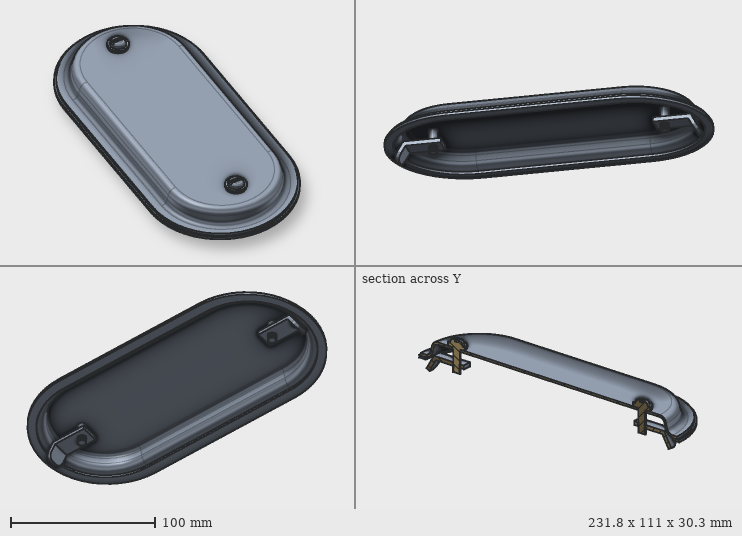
import cadquery as cq
import math

length = 231.8
width = 111.0
gasket_thickness = 2.0
end_radius = width / 2
half_spacing = length / 2 - end_radius

sheet_thickness = 2.0
flange_inset = 1.6
flange_top = gasket_thickness + sheet_thickness
dome_half_spacing = 62.1
dome_radius = 44.3
dome_top = 16.5
wall_draft = 13.0
shoulder_radius = 6.0
foot_radius = 4.6
foot_reach = foot_radius * math.tan(math.radians(90 - wall_draft) / 2)
opening_radius = dome_radius + foot_reach

screw_offset = 82.5
shank_diameter = 6.3
shank_bottom = -2.5
thread_pitch = 0.7
thread_depth = 0.5
thread_count = 11
seat_diameter = 14.5
collar_diameter = 15.8
collar_bottom = 17.5
collar_top = 19.2
head_foot_diameter = 11.5
head_diameter = 10.7
head_shoulder = 21.0
crown_diameter = 6.3
screw_top = 22.7
slot_width = 2.5
slot_depth = 1.5
tooth_count = 20

clip_width = 13.5
clip_thickness = 3.2
clip_corner_radius = 5.0
arm_angle = 60.0
arm_bottom = -7.6
arm_inner_face = 102.0
strip_bottom = gasket_thickness
strip_overhang = clip_width / 2


def stadium(spacing, radius, bottom, height, taper=0):
    """Prism with straight sides along X and round ends centred at +/- spacing."""
    outline = cq.Workplane("XY", origin=(0, 0, bottom)).slot2D(2 * (spacing + radius), 2 * radius)
    return outline.extrude(height, taper=taper)


def domed_slab(slab, base, radius, top, shoulder, foot):
    """Add a drafted dome to a slab whose top lies at Z = base, and round both its rims."""
    dome = stadium(dome_half_spacing, radius, base, top - base, wall_draft)
    dome = dome.faces(">Z").edges().fillet(shoulder)
    foot_zone = cq.selectors.BoxSelector(
        (-dome_half_spacing - radius - foot / 2, -radius - foot / 2, base - foot / 10),
        (dome_half_spacing + radius + foot / 2, radius + foot / 2, base + foot / 10),
        boundingbox=True,
    )
    return slab.union(dome).edges(foot_zone).fillet(foot)


def make_gasket():
    ring = stadium(half_spacing, end_radius, 0, gasket_thickness)
    return ring.cut(stadium(dome_half_spacing, opening_radius, 0, gasket_thickness))


def make_cover():
    flange = stadium(half_spacing, end_radius - flange_inset, gasket_thickness, sheet_thickness)
    cover = domed_slab(flange, flange_top, dome_radius, dome_top, shoulder_radius, foot_radius)

    draft = math.radians(wall_draft)
    cavity_radius = dome_radius + sheet_thickness * (math.tan(draft) - 1 / math.cos(draft))
    below = stadium(half_spacing, end_radius, 0, gasket_thickness)
    cavity = domed_slab(
        below, gasket_thickness, cavity_radius, dome_top - sheet_thickness,
        shoulder_radius - sheet_thickness, foot_radius + sheet_thickness,
    )
    cover = cover.cut(cavity)
    for side in (-1, 1):
        hole = cq.Workplane("XY").center(side * screw_offset, 0).circle(shank_diameter / 2)
        cover = cover.cut(hole.extrude(dome_top))
    return cover


def thread_outline():
    """Edge of the threaded shank from its tip upward, as a row of V ring grooves."""
    crest = shank_diameter / 2
    points = [(crest, shank_bottom)]
    for ring in range(thread_count):
        ring_bottom = shank_bottom + ring * thread_pitch
        points.append((crest - thread_depth, ring_bottom + thread_pitch / 2))
        points.append((crest, ring_bottom + thread_pitch))
    return points


def crown_midpoint():
    """Middle of the crown arc, which is tangent to the flat top of the head."""
    run = (head_diameter - crown_diameter) / 2
    drop = screw_top - head_shoulder
    arc_radius = (run**2 + drop**2) / (2 * drop)
    half_angle = math.asin(run / arc_radius) / 2
    return (
        crown_diameter / 2 + arc_radius * math.sin(half_angle),
        screw_top - arc_radius * (1 - math.cos(half_angle)),
    )


def make_knurl():
    """Collar disc whose rim is a ring of V teeth."""
    outline = []
    for step in range(2 * tooth_count):
        radius = (seat_diameter if step % 2 else collar_diameter) / 2
        angle = math.pi * step / tooth_count
        outline.append((radius * math.cos(angle), radius * math.sin(angle)))
    knurl = cq.Workplane("XY", origin=(0, 0, collar_bottom)).polyline(outline).close()
    return knurl.extrude(collar_top - collar_bottom)


def make_screw(side):
    screw = (
        cq.Workplane("XZ")
        .moveTo(0, shank_bottom)
        .polyline(thread_outline(), includeCurrent=True)
        .lineTo(shank_diameter / 2, dome_top)
        .lineTo(seat_diameter / 2, dome_top)
        .lineTo(seat_diameter / 2, collar_top)
        .lineTo(head_foot_diameter / 2, collar_top)
        .lineTo(head_diameter / 2, head_shoulder)
        .threePointArc(crown_midpoint(), (crown_diameter / 2, screw_top))
        .lineTo(0, screw_top)
        .close()
        .revolve(360, (0, 0), (0, 1))
    )

    screw = screw.union(make_knurl())

    slot = cq.Workplane("XY", origin=(0, 0, screw_top)).rect(slot_width, collar_diameter)
    screw = screw.cut(slot.extrude(-slot_depth))
    return screw.translate((side * screw_offset, 0, 0))


def make_clip(side):
    slope = math.radians(arm_angle)
    along = (math.cos(slope), -math.sin(slope))
    strip_top = strip_bottom + clip_thickness
    outer_face = arm_inner_face + clip_thickness / math.sin(slope)
    tip_x = arm_inner_face - arm_bottom / math.tan(slope)
    profile = [
        (screw_offset - strip_overhang, strip_bottom),
        (arm_inner_face - strip_bottom / math.tan(slope), strip_bottom),
        (tip_x, arm_bottom),
        (tip_x - clip_thickness * along[1], arm_bottom + clip_thickness * along[0]),
        (outer_face - strip_top / math.tan(slope), strip_top),
        (screw_offset - strip_overhang, strip_top),
    ]
    clip = cq.Workplane("XZ").polyline(profile).close().extrude(clip_width / 2, both=True)

    tip_face = clip.faces(cq.selectors.DirectionMinMaxSelector(cq.Vector(along[0], 0, along[1])))
    clip = tip_face.edges("not |Y").fillet(clip_corner_radius)
    hole = cq.Workplane("XY").center(screw_offset, 0).circle(shank_diameter / 2).extrude(dome_top)
    clip = clip.cut(hole)
    return clip if side > 0 else clip.mirror("YZ")


gasket = make_gasket()
cover = make_cover()
screws = [make_screw(side) for side in (-1, 1)]
clips = [make_clip(side) for side in (-1, 1)]

result = cq.Compound.makeCompound(
    [gasket.val(), cover.val(), *[screw.val() for screw in screws], *[clip.val() for clip in clips]]
)